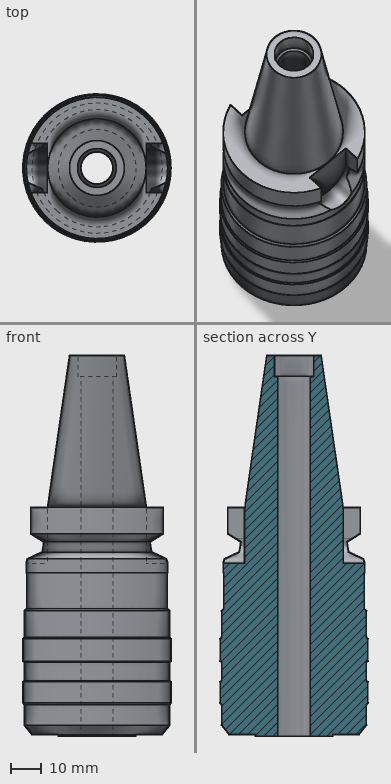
import cadquery as cq

total_height = 123.4
nose_rim_z = 0.6
nose_chamfer_top_z = 3.7
lower_band_bottom_z = 10.9
lower_band_top_z = 18.0
upper_band_bottom_z = 24.4
upper_band_top_z = 32.2
sleeve_top_z = 41.3
collar_bottom_z = 53.1
collar_top_z = 57.5
neck_bottom_z = 59.7
neck_top_z = 63.0
flange_bevel_top_z = 65.6
flange_top_z = 74.2
taper_bottom_z = 74.9

nose_radius = 12.6
nose_rim_radius = 21.1
sleeve_radius = 23.6
band_diameter = 48.0
band_radius = band_diameter / 2
body_radius = 22.8
collar_radius = 23.0
flange_radius = 23.0
neck_radius = 19.0
taper_large_radius = 15.9
taper_small_radius = 8.9

step_bevel = 0.6
groove_bevel = 0.4

bore_radius = 5.2
counterbore_radius = 6.3
counterbore_depth = 6.8

slot_width = 16.0
slot_floor_x = 16.0
slot_bottom_z = 56.1


def turned_body():
    """Revolve the outer half profile about the Z axis."""
    points = [
        (0, 0),
        (nose_radius, 0),
        (nose_radius, nose_rim_z),
        (nose_rim_radius, nose_rim_z),
        (sleeve_radius, nose_chamfer_top_z),
    ]
    bands = [
        (lower_band_bottom_z, step_bevel, lower_band_top_z, groove_bevel),
        (upper_band_bottom_z, groove_bevel, upper_band_top_z, step_bevel),
    ]
    for bottom, bottom_bevel, top, top_bevel in bands:
        points += [
            (sleeve_radius, bottom - bottom_bevel),
            (band_radius, bottom),
            (band_radius, top - top_bevel),
            (sleeve_radius, top),
        ]
    points += [
        (sleeve_radius, sleeve_top_z - step_bevel),
        (body_radius, sleeve_top_z),
        (body_radius, collar_bottom_z),
        (collar_radius, collar_bottom_z),
        (collar_radius, collar_top_z),
        (neck_radius, neck_bottom_z),
        (neck_radius, neck_top_z),
        (flange_radius, flange_bevel_top_z),
        (flange_radius, flange_top_z),
        (taper_large_radius, flange_top_z),
        (taper_large_radius, taper_bottom_z),
        (taper_small_radius, total_height),
        (0, total_height),
    ]
    return cq.Workplane("XZ").polyline(points).close().revolve(360, (0, 0), (0, 1))


def stepped_bore():
    """Through bore with a wider counterbore at the small end of the taper."""
    bore = cq.Workplane("XY").circle(bore_radius).extrude(total_height)
    counterbore = (
        cq.Workplane("XY", origin=(0, 0, total_height - counterbore_depth))
        .circle(counterbore_radius)
        .extrude(counterbore_depth)
    )
    return bore.union(counterbore)


def drive_slot(side):
    """Round-bottomed slot cut in from the +X (side=1) or -X (side=-1) face."""
    half_width = slot_width / 2
    arc_center_z = slot_bottom_z + half_width
    return (
        cq.Workplane("YZ", origin=(side * slot_floor_x, 0, 0))
        .moveTo(-half_width, flange_top_z)
        .lineTo(-half_width, arc_center_z)
        .threePointArc((0, slot_bottom_z), (half_width, arc_center_z))
        .lineTo(half_width, flange_top_z)
        .close()
        .extrude(side * (band_radius - slot_floor_x))
    )


result = turned_body().cut(stepped_bore())
for slot_side in (-1, 1):
    result = result.cut(drive_slot(slot_side))